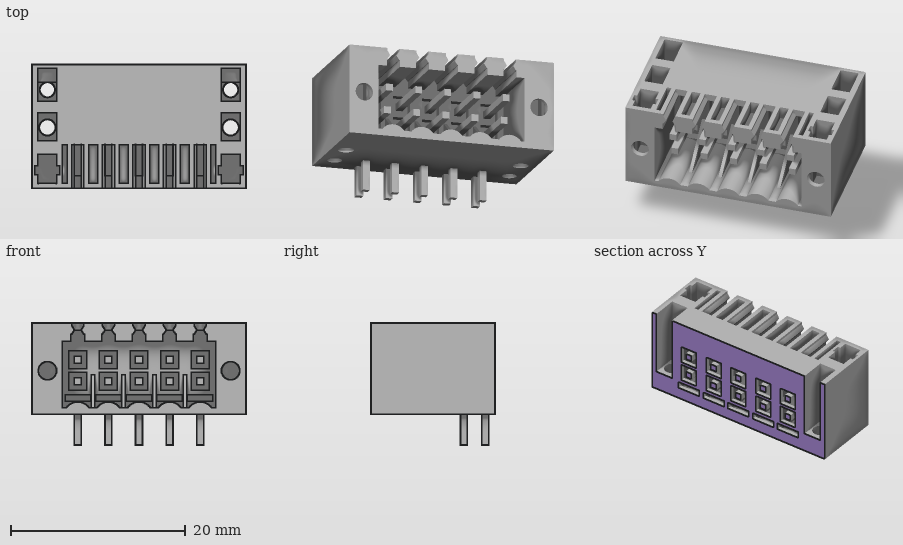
import cadquery as cq


WIDTH = 24.5
DEPTH = 14.2
HEIGHT = 10.49
WALL = 0.6

POLES = 5
PITCH = 3.5
POLE_XS = [PITCH * (i - (POLES - 1) / 2) for i in range(POLES)]
GAP_XS = [PITCH * (i - POLES / 2 + 1) for i in range(POLES - 1)]

CAVITY_WIDTH = POLES * PITCH
CAVITY_FLOOR = 0.75
CAVITY_CEILING = 8.35
CAVITY_DEPTH = 8.0

HUMP_WIDTH = 2.62
HUMP_HEIGHT = 0.65

FIN_WIDTH = 0.4
FIN_START = 2.62
FIN_TOP = 4.53

SLOT_DEPTH = 5.02
SLOT_TOP_WIDTH = 1.42
SLOT_LIP_Z = 10.2
NECK_WIDTH = 0.75
NECK_Z = 9.65
SLOT_STEP_Z = 9.16
SLOT_BASE_WIDTH = 1.57

GROOVE_WIDTH = 1.03
END_GROOVE_WIDTH = 0.55
GROOVE_FLOOR = CAVITY_CEILING + WALL

PIN = 0.8
PIN_LENGTH_BELOW = 3.5
UPPER_PIN_Z = 6.27
LOWER_PIN_Z = 3.77
UPPER_PIN_TIP = 1.47
LOWER_PIN_TIP = 2.2
UPPER_TAIL_Y = 13.08
LOWER_TAIL_Y = 10.63

WELL_SIZE = 2.05
RECESS_DEPTH = 0.98
WINDOW_WIDTH = 2.92
WINDOW_BOTTOM = 1.5
WINDOW_HEIGHT = 0.74

BLOCK_X = 10.49
POCKET_WIDTH = 2.18
POCKET_FLOOR = 2.45
FRONT_POCKET_END = 3.95
WING_START = 1.57
WING_END = 2.57
WING_WIDTH = 2.85
MID_POCKET_START = 5.45
MID_POCKET_END = 8.65
MID_HOLE_Y = 6.98
MID_HOLE_DIAMETER = 1.84
REAR_POCKET_START = 9.97
REAR_POCKET_END = 13.75
REAR_LEDGE_START = 12.18
REAR_LEDGE_Z = 4.9
REAR_HOLE_Y = 11.3
REAR_HOLE_DIAMETER = 1.72
FLANGE_HOLE_DIAMETER = 2.08
FLANGE_HOLE_Z = 5.0


def block(x, width, y0, y1, z0, z1):
    """Box centred on x, spanning y0..y1 and z0..z1."""
    box = cq.Workplane("XY").box(width, y1 - y0, z1 - z0, centered=(True, False, False))
    return box.translate((x, y0, z0))


def coding_slot(x):
    """Pinched slot through the roof; below the neck it runs to the back of the cavity."""
    top = SLOT_TOP_WIDTH / 2
    neck = NECK_WIDTH / 2
    upper = (
        cq.Workplane("XZ")
        .moveTo(neck, NECK_Z)
        .lineTo(top, SLOT_LIP_Z)
        .lineTo(top, HEIGHT)
        .lineTo(-top, HEIGHT)
        .lineTo(-top, SLOT_LIP_Z)
        .lineTo(-neck, NECK_Z)
        .close()
        .extrude(-SLOT_DEPTH)
    )
    flare = (
        cq.Workplane("XZ")
        .polyline([(-neck, NECK_Z), (neck, NECK_Z), (top, SLOT_STEP_Z), (-top, SLOT_STEP_Z)])
        .close()
        .extrude(-CAVITY_DEPTH)
    )
    channel = block(0, SLOT_BASE_WIDTH, 0, CAVITY_DEPTH, CAVITY_CEILING, SLOT_STEP_Z)
    return channel.union(flare).union(upper).translate((x, 0, 0))


def back_wall_recesses(x):
    """Square well around each pin and the flat window below them, cut into the back wall."""
    back = CAVITY_DEPTH
    recess_end = back + RECESS_DEPTH
    recesses = block(x, WINDOW_WIDTH, back, recess_end, WINDOW_BOTTOM, WINDOW_BOTTOM + WINDOW_HEIGHT)
    for z in (LOWER_PIN_Z, UPPER_PIN_Z):
        well = block(x, WELL_SIZE, back, recess_end, z - WELL_SIZE / 2, z + WELL_SIZE / 2)
        recesses = recesses.union(well)
    return recesses


def hump(x):
    """Rounded ridge along the cavity floor."""
    half = HUMP_WIDTH / 2
    return (
        cq.Workplane("XZ")
        .moveTo(x - half, CAVITY_FLOOR)
        .threePointArc((x, CAVITY_FLOOR + HUMP_HEIGHT), (x + half, CAVITY_FLOOR))
        .close()
        .extrude(-CAVITY_DEPTH)
    )


def fin(x):
    """Triangular web rising from the cavity floor to its back wall."""
    return (
        cq.Workplane("YZ")
        .polyline([(FIN_START, CAVITY_FLOOR), (CAVITY_DEPTH, CAVITY_FLOOR), (CAVITY_DEPTH, FIN_TOP)])
        .close()
        .extrude(FIN_WIDTH / 2, both=True)
        .translate((x, 0, 0))
    )


def angled_pin(x, z, tip_y, tail_y):
    """Square pin entering the cavity from the back and bending down through the base."""
    contact = block(x, PIN, tip_y, tail_y + PIN / 2, z - PIN / 2, z + PIN / 2)
    tail = block(x, PIN, tail_y - PIN / 2, tail_y + PIN / 2, -PIN_LENGTH_BELOW, z)
    return contact.union(tail)


def round_hole(x, y, diameter):
    """Vertical hole through a pocket floor."""
    return cq.Workplane("XY").center(x, y).circle(diameter / 2).extrude(POCKET_FLOOR)


def fixing_pockets(x):
    """The three top pockets of one end block with their holes."""
    front = block(x, POCKET_WIDTH, WALL, FRONT_POCKET_END, POCKET_FLOOR, HEIGHT)
    wings = block(x, WING_WIDTH, WING_START, WING_END, POCKET_FLOOR, HEIGHT)
    flange_hole = (
        cq.Workplane("XZ").center(x, FLANGE_HOLE_Z).circle(FLANGE_HOLE_DIAMETER / 2).extrude(-FRONT_POCKET_END)
    )
    middle = block(x, POCKET_WIDTH, MID_POCKET_START, MID_POCKET_END, POCKET_FLOOR, HEIGHT)
    rear = block(x, POCKET_WIDTH, REAR_POCKET_START, REAR_LEDGE_START, POCKET_FLOOR, HEIGHT)
    ledge = block(x, POCKET_WIDTH, REAR_LEDGE_START, REAR_POCKET_END, REAR_LEDGE_Z, HEIGHT)
    mid_hole = round_hole(x, MID_HOLE_Y, MID_HOLE_DIAMETER)
    rear_hole = round_hole(x, REAR_HOLE_Y, REAR_HOLE_DIAMETER)
    pockets = front.union(wings).union(flange_hole).union(middle).union(rear).union(ledge)
    return pockets.union(mid_hole).union(rear_hole)


result = block(0, WIDTH, 0, DEPTH, 0, HEIGHT)
result = result.cut(block(0, CAVITY_WIDTH, 0, CAVITY_DEPTH, CAVITY_FLOOR, CAVITY_CEILING))

for pole_x in POLE_XS:
    result = result.cut(coding_slot(pole_x)).cut(back_wall_recesses(pole_x))

for gap_x in GAP_XS:
    result = result.cut(block(gap_x, GROOVE_WIDTH, WALL, SLOT_DEPTH, GROOVE_FLOOR, HEIGHT))
end_groove_x = (CAVITY_WIDTH - END_GROOVE_WIDTH) / 2
for side in (-1, 1):
    result = result.cut(block(side * end_groove_x, END_GROOVE_WIDTH, WALL, SLOT_DEPTH, GROOVE_FLOOR, HEIGHT))
    result = result.cut(fixing_pockets(side * BLOCK_X))

for pole_x in POLE_XS:
    result = result.union(hump(pole_x))
for gap_x in GAP_XS:
    result = result.union(fin(gap_x))

for pole_x in POLE_XS:
    result = result.union(angled_pin(pole_x, UPPER_PIN_Z, UPPER_PIN_TIP, UPPER_TAIL_Y))
    result = result.union(angled_pin(pole_x, LOWER_PIN_Z, LOWER_PIN_TIP, LOWER_TAIL_Y))